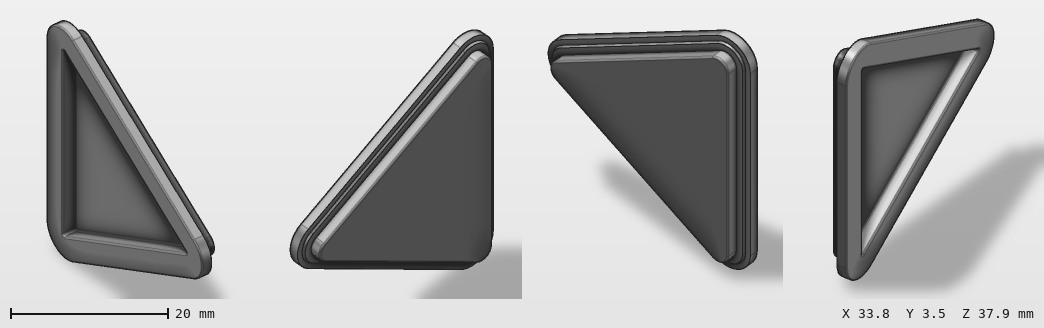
import cadquery as cq
import math

CORNER_SPACING = 30.3
CORNER_CIRCLE_RADIUS = CORNER_SPACING / math.sqrt(3)

FLANGE_RADIUS = 3.784
STEP_INSET = 0.8
BOSS_INSET = 2.03
POCKET_INSET = 3.5

FLANGE_THICKNESS = 1.5
STEP_HEIGHT = 0.35
TOTAL_THICKNESS = 3.5
POCKET_DEPTH = 2.0

STEP_TAPER = 30
FLANGE_EDGE_RADIUS = 0.2
BOSS_EDGE_RADIUS = 0.25
POCKET_EDGE_RADIUS = 0.25


def rounded_triangle(inset, start, height, taper=0):
    """Rounded triangular plate, inset from the flange outline, rising along +Y from start."""
    core = cq.Workplane("XZ", origin=(0, start, 0)).polygon(3, 2 * CORNER_CIRCLE_RADIUS)
    outline = core.offset2D(FLANGE_RADIUS - inset)
    return outline.extrude(-height, taper=taper)


def flange():
    plate = rounded_triangle(0, 0, FLANGE_THICKNESS)
    return plate.faces("<Y").edges().fillet(FLANGE_EDGE_RADIUS)


def step():
    """Low tapered ledge between the flange and the boss."""
    return rounded_triangle(STEP_INSET, FLANGE_THICKNESS, STEP_HEIGHT, STEP_TAPER)


def boss():
    plate = rounded_triangle(BOSS_INSET, FLANGE_THICKNESS, TOTAL_THICKNESS - FLANGE_THICKNESS)
    return plate.faces(">Y").edges().fillet(BOSS_EDGE_RADIUS)


def pocket():
    """Volume removed from the front face, rounded around its floor."""
    cavity = rounded_triangle(POCKET_INSET, 0, POCKET_DEPTH)
    return cavity.faces(">Y").edges().fillet(POCKET_EDGE_RADIUS)


def round_pocket_rim(body):
    """Round the edge where the pocket walls meet the front face."""
    rim = body.faces("<Y").wires(cq.selectors.AreaNthSelector(0))
    return rim.fillet(POCKET_EDGE_RADIUS)


solid_body = flange().union(step()).union(boss())
result = round_pocket_rim(solid_body.cut(pocket()))